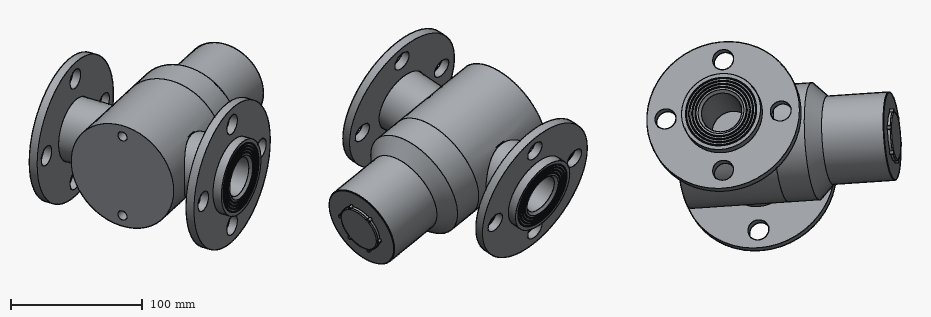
import cadquery as cq
import math

PIPE_LENGTH = 159.0
FLANGE_DIAMETER = 118.0
VALVE_LENGTH = 178.5
VALVE_BACK_Y = VALVE_LENGTH - FLANGE_DIAMETER / 2

BODY_DIAMETER = 89.0
BODY_FRONT_Y = -42.1
BODY_BACK_Y = 33.4
SCREW_HOLE_DIAMETER = 7.9
SCREW_HOLE_PITCH_DIAMETER = 70.0
SCREW_HOLE_DEPTH = 14.3
SOCKET_FLOOR_X = 35.7

BONNET_CONE_START_Y = 57.3
BONNET_CONE_END_Y = 68.5
BONNET_NECK_DIAMETER = 67.3
BONNET_BACK_Y = 116.5
BONNET_EDGE_CHAMFER = 0.5

CAP_DIAMETER = 37.8
CAP_CHAMFER = 0.9
RIB_DIAMETER = 2.9
RIB_PITCH_DIAMETER = 38.7
RIB_COUNT = 6

STUB_DIAMETER = 51.0
COLLAR_DIAMETER = 61.0
COLLAR_THICKNESS = 7.3
BORE_DIAMETER = 31.0
BORE_CHAMFER = 2.1
GROOVE_WIDTH = 0.9
GROOVE_DEPTH = 0.4
GROOVE_INNER_DIAMETERS = (38.7, 43.5, 48.4, 53.2)

FLANGE_BORE_DIAMETER = 51.5
FLANGE_THICKNESS = 7.0
FLANGE_COLLAR_GAP = 0.5
BOLT_HOLE_DIAMETER = 16.0
BOLT_HOLE_PITCH_DIAMETER = 89.0
BOLT_HOLE_COUNT = 4

PIPE_END_X = PIPE_LENGTH / 2
COLLAR_INNER_X = PIPE_END_X - COLLAR_THICKNESS
FLANGE_OUTER_X = COLLAR_INNER_X - FLANGE_COLLAR_GAP
FLANGE_INNER_X = FLANGE_OUTER_X - FLANGE_THICKNESS


def disc_along_x(diameter, start_x, end_x):
    """Cylinder on the X axis."""
    return cq.Workplane("YZ", origin=(start_x, 0, 0)).circle(diameter / 2).extrude(end_x - start_x)


def disc_along_y(diameter, start_y, end_y):
    """Cylinder on the Y axis."""
    plane = cq.Plane(origin=(0, start_y, 0), xDir=(1, 0, 0), normal=(0, 1, 0))
    return cq.Workplane(plane).circle(diameter / 2).extrude(end_y - start_y)


def make_body():
    """Cylinder with two blind screw holes in front and a flat-bottomed socket for each stub pipe."""
    body = disc_along_y(BODY_DIAMETER, BODY_FRONT_Y, BODY_BACK_Y)
    screw_hole = disc_along_y(SCREW_HOLE_DIAMETER, BODY_FRONT_Y, BODY_FRONT_Y + SCREW_HOLE_DEPTH)
    for side in (-1, 1):
        body = body.cut(screw_hole.translate((0, 0, side * SCREW_HOLE_PITCH_DIAMETER / 2)))
        body = body.cut(disc_along_x(STUB_DIAMETER, side * SOCKET_FLOOR_X, side * PIPE_END_X))
    return body


def make_bonnet():
    """Turned bonnet that narrows through a cone to a neck with a chamfered end."""
    body_radius = BODY_DIAMETER / 2
    neck_radius = BONNET_NECK_DIAMETER / 2
    bonnet = (
        cq.Workplane("XY")
        .moveTo(0, BODY_BACK_Y)
        .lineTo(body_radius, BODY_BACK_Y)
        .lineTo(body_radius, BONNET_CONE_START_Y)
        .lineTo(neck_radius, BONNET_CONE_END_Y)
        .lineTo(neck_radius, BONNET_BACK_Y)
        .lineTo(0, BONNET_BACK_Y)
        .close()
        .revolve(360, (0, 0, 0), (0, 1, 0))
    )
    return bonnet.faces(">Y").edges().chamfer(BONNET_EDGE_CHAMFER)


def make_cap():
    """Chamfered disc with round grip ribs around its rim."""
    cap = disc_along_y(CAP_DIAMETER, BONNET_BACK_Y, VALVE_BACK_Y).faces(">Y").edges().chamfer(CAP_CHAMFER)
    rib = disc_along_y(RIB_DIAMETER, BONNET_BACK_Y, VALVE_BACK_Y)
    for index in range(RIB_COUNT):
        angle = 2 * math.pi * index / RIB_COUNT
        rim_x = RIB_PITCH_DIAMETER / 2 * math.cos(angle)
        rim_z = RIB_PITCH_DIAMETER / 2 * math.sin(angle)
        cap = cap.union(rib.translate((rim_x, 0, rim_z)))
    return cap


def make_stub():
    """Stub pipe on the +X side, with a chamfered bore and ring grooves in its collar."""
    stub = disc_along_x(STUB_DIAMETER, SOCKET_FLOOR_X, PIPE_END_X)
    stub = stub.union(disc_along_x(COLLAR_DIAMETER, COLLAR_INNER_X, PIPE_END_X))
    stub = stub.cut(disc_along_x(BORE_DIAMETER, SOCKET_FLOOR_X, PIPE_END_X))
    stub = stub.faces(">X").edges(cq.selectors.RadiusNthSelector(0)).chamfer(BORE_CHAMFER)
    for inner_diameter in GROOVE_INNER_DIAMETERS:
        outer_diameter = inner_diameter + 2 * GROOVE_WIDTH
        groove = disc_along_x(outer_diameter, PIPE_END_X - GROOVE_DEPTH, PIPE_END_X)
        groove = groove.cut(disc_along_x(inner_diameter, PIPE_END_X - GROOVE_DEPTH, PIPE_END_X))
        stub = stub.cut(groove)
    return stub


def make_flange():
    """Flange on the +X side, with bolt holes on the Y and Z axes."""
    flange = disc_along_x(FLANGE_DIAMETER, FLANGE_INNER_X, FLANGE_OUTER_X)
    flange = flange.cut(disc_along_x(FLANGE_BORE_DIAMETER, FLANGE_INNER_X, FLANGE_OUTER_X))
    bolt_hole = disc_along_x(BOLT_HOLE_DIAMETER, FLANGE_INNER_X, FLANGE_OUTER_X)
    for index in range(BOLT_HOLE_COUNT):
        angle = 2 * math.pi * index / BOLT_HOLE_COUNT
        hole_y = BOLT_HOLE_PITCH_DIAMETER / 2 * math.cos(angle)
        hole_z = BOLT_HOLE_PITCH_DIAMETER / 2 * math.sin(angle)
        flange = flange.cut(bolt_hole.translate((0, hole_y, hole_z)))
    return flange


body = make_body()
bonnet = make_bonnet()
cap = make_cap()

stubs = []
flanges = []
for turn in (0, 180):
    stubs.append(make_stub().rotate((0, 0, 0), (0, 0, 1), turn).val())
    flanges.append(make_flange().rotate((0, 0, 0), (0, 0, 1), turn).val())

result = cq.Compound.makeCompound([body.val(), bonnet.val(), cap.val(), *stubs, *flanges])